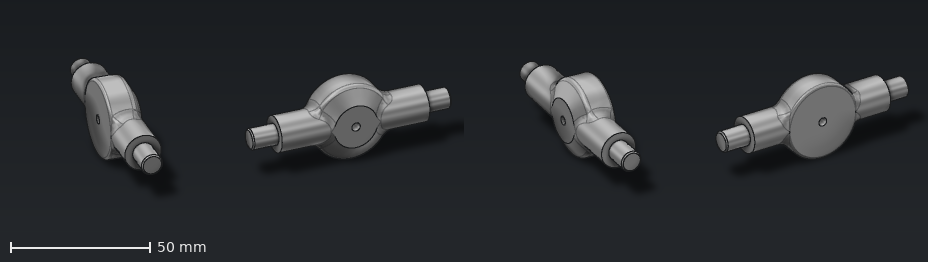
import cadquery as cq
import math

length = 78.0
barrel_diameter = 14.0
barrel_length = 58.0
pin_diameter = 8.0
pin_chamfer = 0.55

hub_diameter = 30.0
hub_back_diameter = 16.85
cone_angle = 60.0
shoulder_radius = 2.0
front_edge_radius = 1.0
bore_diameter = 3.3
blend_radius = 5.0

barrel_radius = barrel_diameter / 2
hub_radius = hub_diameter / 2
hub_back_radius = hub_back_diameter / 2
cone_depth = (hub_radius - hub_back_radius) / math.tan(math.radians(cone_angle))
front_y = -barrel_radius
back_y = barrel_radius


def x_cylinder(diameter, span):
    """Cylinder along X, centred on the origin."""
    return cq.Workplane("YZ").circle(diameter / 2).extrude(span / 2, both=True)


def make_hub():
    """Disc with a rounded front rim, a conical back and a rounded shoulder."""
    shoulder_y = back_y - cone_depth
    profile = (
        cq.Workplane("XY")
        .moveTo(0, front_y)
        .lineTo(hub_radius, front_y)
        .lineTo(hub_radius, shoulder_y)
        .lineTo(hub_back_radius, back_y)
        .lineTo(0, back_y)
        .close()
    )
    hub = profile.revolve(360, (0, 0, 0), (0, 1, 0))
    margin = 0.1
    shoulder_edges = cq.selectors.BoxSelector(
        (-hub_radius, shoulder_y - margin, -hub_radius),
        (hub_radius, shoulder_y + margin, hub_radius),
    )
    hub = hub.edges("%CIRCLE").edges(shoulder_edges).fillet(shoulder_radius)
    return hub.faces("<Y").edges().fillet(front_edge_radius)


def junction_edges(side):
    """Selector for the hub-to-barrel seams, centred within the hub on one side (+1 or -1) in X."""
    return cq.selectors.BoxSelector(
        (side * hub_back_radius / 2, front_y, -hub_radius),
        (side * hub_radius, back_y, hub_radius),
    )


body = make_hub().union(x_cylinder(barrel_diameter, barrel_length))
seams = body.edges(junction_edges(-1) + junction_edges(1))
body = seams.fillet(blend_radius)

envelope = cq.Workplane("XY").box(length, barrel_diameter, hub_diameter)
body = body.intersect(envelope)

pins = x_cylinder(pin_diameter, length).faces("<X or >X").edges().chamfer(pin_chamfer)
body = body.union(pins)

bore = cq.Workplane("XZ").circle(bore_diameter / 2).extrude(barrel_radius, both=True)
result = body.cut(bore)